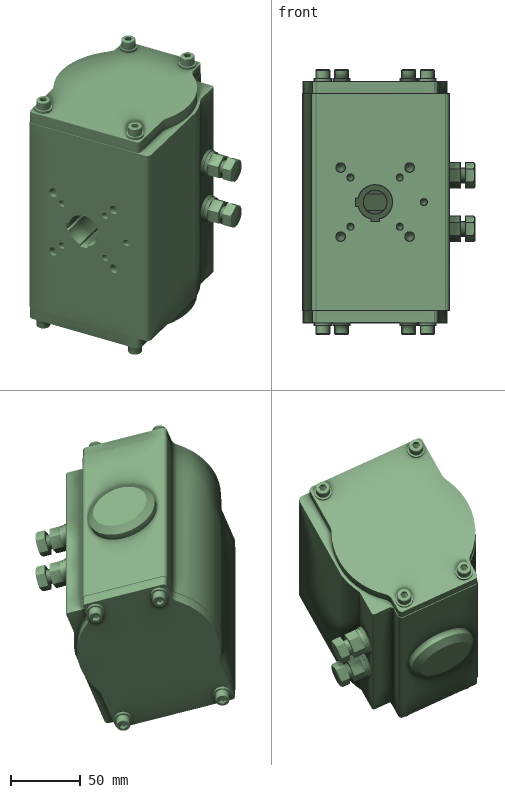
import cadquery as cq
import math


barrel_radius = 52.0
neck_half_width = 32.0
neck_top = 57.2
neck_blend_radius = 7.0
foot_half_width = 45.5
foot_bottom = -62.2
foot_blend_radius = 10.0
corner_radius = 3.0
housing_half_length = 77.8

pad_side = 53.5
pad_arc_radius = 54.0
pad_port_face = 47.8
pad_top = 45.6
pad_blend_radius = 2.5
pad_chamfer = 1.0

cap_thickness = 8.9
cap_inset = 0.4
cap_outer_z = housing_half_length + cap_thickness

screw_neck_x = 24.1
screw_neck_y = 48.8
screw_foot_x = 37.5
screw_foot_y = -53.9
screw_end_z = 189.92 / 2
washer_diameter = 12.5
washer_thickness = 1.9
screw_head_diameter = 10.0
screw_head_chamfer = 0.5
socket_across_flats = 5.0
socket_depth = 3.0
drill_point_angle = 118.0

bore_diameter = 25.0
keyway_width = 6.0
keyway_reach = 14.0

outer_bolt_circle = 70.0
outer_hole_diameter = 6.8
outer_hole_depth = 16.0
inner_bolt_circle = 50.0
inner_hole_diameter = 5.0
inner_hole_depth = 12.0

gland_y = 34.9
gland_z = 19.2
gland_end_x = 71.58
collar_radius = 9.9
collar_end_x = 50.1
seal_radius = 9.3
seal_end_x = 52.8
hex_across_flats = 16.0
hex_end_x = 61.1
stem_radius = 5.4
nut_start_x = 64.7
nut_chamfer = 1.0

disc_radius = 24.9
disc_top = 66.55
disc_chamfer_height = 4.5
disc_top_radius = 20.2
seat_diameter = 17.0
seat_depth = 2.0
slot_width = 11.8
slot_depth = 5.0


def blend(wall_x, radius, barrel, side):
    """Fillet between a vertical wall and the barrel: wall end, middle and barrel end points.

    side is 1 for a wall that meets the barrel above the X axis, -1 for one below it.
    """
    center_x = wall_x + radius
    center_y = side * math.sqrt((barrel + radius) ** 2 - center_x ** 2)
    angle = math.atan2(center_y, center_x)
    wall_end = (wall_x, center_y)
    barrel_end = (barrel * math.cos(angle), barrel * math.sin(angle))
    middle_angle = math.pi + angle / 2
    middle = (
        center_x + radius * math.cos(middle_angle),
        center_y + radius * math.sin(middle_angle),
    )
    return wall_end, middle, barrel_end


def mirrored(point):
    return (-point[0], point[1])


def barrel_prism(inset, start_z, length):
    """Barrel with its neck and foot, every wall moved inwards by inset."""
    barrel = barrel_radius - inset
    neck = neck_half_width - inset
    foot = foot_half_width - inset
    top = neck_top - inset
    bottom = foot_bottom + inset
    neck_wall, neck_middle, neck_barrel = blend(neck, neck_blend_radius + inset, barrel, 1)
    foot_wall, foot_middle, foot_barrel = blend(foot, foot_blend_radius + inset, barrel, -1)
    return (
        cq.Workplane("XY", origin=(0, 0, start_z))
        .moveTo(-neck, top)
        .lineTo(neck, top)
        .lineTo(*neck_wall)
        .threePointArc(neck_middle, neck_barrel)
        .threePointArc((barrel, 0), foot_barrel)
        .threePointArc(foot_middle, foot_wall)
        .lineTo(foot, bottom)
        .lineTo(-foot, bottom)
        .lineTo(*mirrored(foot_wall))
        .threePointArc(mirrored(foot_middle), mirrored(foot_barrel))
        .threePointArc((-barrel, 0), mirrored(neck_barrel))
        .threePointArc(mirrored(neck_middle), mirrored(neck_wall))
        .close()
        .extrude(length)
        .edges("|Z and (>Y or <Y)")
        .fillet(corner_radius - inset)
    )


def port_pad():
    """Pad that fills the +X side of the housing and carries the ports."""
    arc_top_y = math.sqrt(pad_arc_radius ** 2 - pad_port_face ** 2)
    arc_bottom_y = math.sqrt(pad_arc_radius ** 2 - pad_side ** 2)
    return (
        cq.Workplane("XY", origin=(0, 0, -housing_half_length))
        .moveTo(0, foot_bottom)
        .lineTo(pad_side - corner_radius, foot_bottom)
        .radiusArc((pad_side, foot_bottom + corner_radius), -corner_radius)
        .lineTo(pad_side, arc_bottom_y)
        .radiusArc((pad_port_face, arc_top_y), -pad_arc_radius)
        .lineTo(pad_port_face, pad_top - pad_chamfer)
        .lineTo(pad_port_face - pad_chamfer, pad_top)
        .lineTo(neck_half_width + pad_blend_radius, pad_top)
        .radiusArc((neck_half_width, pad_top + pad_blend_radius), pad_blend_radius)
        .lineTo(0, pad_top + pad_blend_radius)
        .close()
        .extrude(2 * housing_half_length)
    )


def drill_point(diameter):
    """Cone of a drill tip, pointing down -Z from the origin."""
    radius = diameter / 2
    height = radius / math.tan(math.radians(drill_point_angle / 2))
    return cq.Workplane("XZ").lineTo(radius, 0).lineTo(0, -height).close().revolve(360, (0, 0), (0, 1))


def cap_screw():
    """Socket head screw on a washer, standing on the top cap's outer face at X = Y = 0."""
    washer = (
        cq.Workplane("XY", origin=(0, 0, cap_outer_z))
        .circle(washer_diameter / 2)
        .extrude(washer_thickness)
    )
    head = (
        cq.Workplane("XY", origin=(0, 0, cap_outer_z))
        .circle(screw_head_diameter / 2)
        .extrude(screw_end_z - cap_outer_z)
        .faces(">Z")
        .chamfer(screw_head_chamfer)
    )
    socket_floor = screw_end_z - socket_depth
    socket = (
        cq.Workplane("XY", origin=(0, 0, socket_floor))
        .polygon(6, socket_across_flats, circumscribed=True)
        .extrude(socket_depth)
    )
    tip = drill_point(socket_across_flats).translate((0, 0, socket_floor))
    return washer.union(head).cut(socket).cut(tip)


def cap_screws():
    """Four screws on each end cap."""
    screw = cap_screw()
    screws = cq.Workplane("XY")
    for x, y in ((screw_neck_x, screw_neck_y), (screw_foot_x, screw_foot_y)):
        for side in (-1, 1):
            top_screw = screw.translate((side * x, y, 0))
            screws = screws.add(top_screw).add(top_screw.mirror("XY"))
    return screws


def gland(z):
    """Cable gland along +X: collar and seal, hexagon, stem and nut."""

    def section(start_x):
        return cq.Workplane("YZ", origin=(start_x, gland_y, z))

    def hexagon(start_x, end_x):
        outline = section(start_x).polygon(6, hex_across_flats, circumscribed=True)
        return outline.extrude(end_x - start_x)

    corner_to_corner = hex_across_flats / math.cos(math.pi / 6)
    nut_envelope = (
        section(nut_start_x)
        .circle(corner_to_corner / 2)
        .extrude(gland_end_x - nut_start_x)
        .faces(">X")
        .chamfer(nut_chamfer)
    )
    collar = section(0).circle(collar_radius).extrude(collar_end_x)
    seal = section(0).circle(seal_radius).extrude(seal_end_x)
    stem = section(0).circle(stem_radius).extrude(nut_start_x)
    nut = hexagon(nut_start_x, gland_end_x).intersect(nut_envelope)
    return collar.union(seal).union(hexagon(seal_end_x, hex_end_x)).union(stem).union(nut)


def shaft_bore():
    """Bore right through the housing, with keyways on its -X and -Z sides."""
    length = neck_top - foot_bottom
    bore = cq.Workplane("XZ", origin=(0, neck_top, 0)).circle(bore_diameter / 2).extrude(length)
    side_key = (
        cq.Workplane("XZ", origin=(0, neck_top, 0))
        .center(-keyway_reach / 2, 0)
        .rect(keyway_reach, keyway_width)
        .extrude(length)
    )
    bottom_key = side_key.rotate((0, 0, 0), (0, 1, 0), -90)
    return bore.union(side_key).union(bottom_key)


def blind_hole(x, z, diameter, depth):
    """Hole with a drill point, sunk into the -Y face."""
    hole = cq.Workplane("XY").circle(diameter / 2).extrude(-depth)
    tip = drill_point(diameter).translate((0, 0, -depth))
    return hole.union(tip).rotate((0, 0, 0), (1, 0, 0), 90).translate((x, foot_bottom, z))


def mounting_holes():
    """Two square patterns of four holes and one hole on the X axis."""
    holes = cq.Workplane("XY")
    for bolt_circle, diameter, depth in (
        (outer_bolt_circle, outer_hole_diameter, outer_hole_depth),
        (inner_bolt_circle, inner_hole_diameter, inner_hole_depth),
    ):
        offset = bolt_circle / 2 * math.sqrt(0.5)
        for x in (-offset, offset):
            for z in (-offset, offset):
                holes = holes.add(blind_hole(x, z, diameter, depth))
    return holes.add(blind_hole(outer_bolt_circle / 2, 0, inner_hole_diameter, inner_hole_depth))


def build_housing():
    """Housing with its end caps, screws and cable glands, as one solid."""
    body = barrel_prism(0, -housing_half_length, 2 * housing_half_length).union(port_pad())
    for start_z in (-cap_outer_z, housing_half_length):
        body = body.union(barrel_prism(cap_inset, start_z, cap_thickness))
    for screw in cap_screws().vals():
        body = body.union(cq.Workplane(screw))
    for z in (-gland_z, gland_z):
        body = body.union(gland(z))
    body = body.cut(shaft_bore())
    for hole in mounting_holes().vals():
        body = body.cut(cq.Workplane(hole))
    return body


def build_indicator():
    """Bevelled disc that closes the bore; a round seat with a flat-sided slot faces the bore."""
    cylinder_top = disc_top - disc_chamfer_height
    disc = (
        cq.Workplane("XY")
        .moveTo(0, neck_top)
        .lineTo(disc_radius, neck_top)
        .lineTo(disc_radius, cylinder_top)
        .lineTo(disc_top_radius, disc_top)
        .lineTo(0, disc_top)
        .close()
        .revolve(360, (0, 0), (0, 1))
    )

    def inner_face():
        return cq.Workplane("XZ", origin=(0, neck_top, 0))

    def round_pocket(depth):
        return inner_face().circle(seat_diameter / 2).extrude(-depth)

    slot_sides = inner_face().rect(seat_diameter, slot_width).extrude(-slot_depth)
    slot = round_pocket(slot_depth).intersect(slot_sides)
    return disc.cut(round_pocket(seat_depth)).cut(slot)


housing = build_housing()
indicator = build_indicator()
result = cq.Compound.makeCompound([housing.val(), indicator.val()])